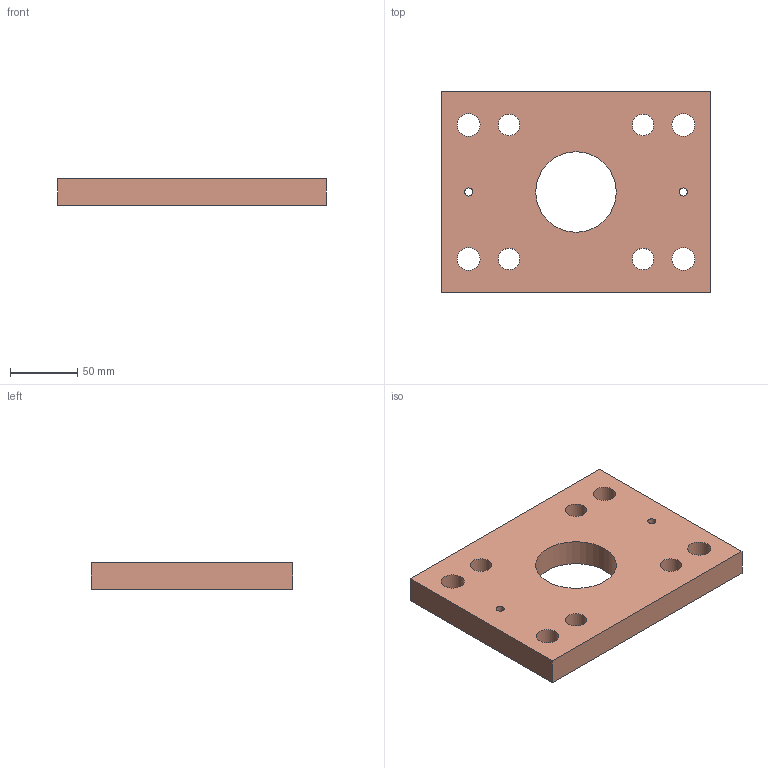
import cadquery as cq

plate_length = 200.0
plate_width = 150.0
plate_thickness = 20.0

bore_diameter = 60.0
outer_hole_diameter = 17.0
inner_hole_diameter = 16.0
pin_hole_diameter = 6.0

outer_hole_x = 80.0
inner_hole_x = 50.0
hole_row_y = 50.0


def four_corners(x, y):
    """Points mirrored about both centre lines of the plate."""
    return [(side_x * x, side_y * y) for side_x in (-1, 1) for side_y in (-1, 1)]


def drill_through(body, points, diameter):
    """Cut plain holes through the full thickness at the given points."""
    return body.faces(">Z").workplane(origin=(0, 0, 0)).pushPoints(points).hole(diameter)


plate = cq.Workplane("XY").box(
    plate_length, plate_width, plate_thickness, centered=(True, True, False)
)

plate = drill_through(plate, [(0, 0)], bore_diameter)
plate = drill_through(plate, four_corners(outer_hole_x, hole_row_y), outer_hole_diameter)
plate = drill_through(plate, four_corners(inner_hole_x, hole_row_y), inner_hole_diameter)

plate = drill_through(plate, [(-outer_hole_x, 0), (outer_hole_x, 0)], pin_hole_diameter)

result = plate